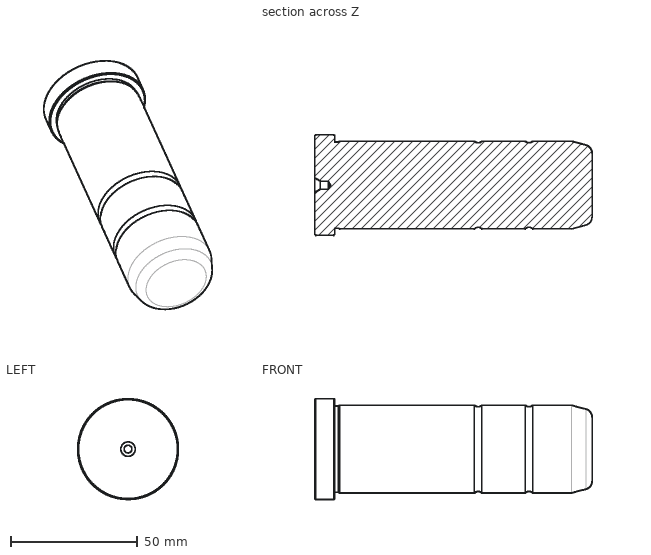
import cadquery as cq
import math

length = 110.0
body_radius = 17.5

head_radius = 20.0
head_length = 8.0
head_chamfer = 0.4

relief_depth = 0.3
relief_end = 9.4
relief_taper_end = 10.0

groove_centers = (64.8, 84.9)
groove_width = 3.0
groove_depth = 0.7

nose_start = 101.8
taper_end = 107.4
taper_angle = math.radians(15)

countersink_radius = 2.9
pilot_radius = 1.5
countersink_half_angle = math.radians(30)
pilot_end = 5.3
drill_half_angle = math.radians(59)


def make_pin():
    taper_end_radius = body_radius - (taper_end - nose_start) * math.tan(taper_angle)
    edge_radius = (length - taper_end) / (1 - math.sin(taper_angle))
    arc_center_x = length - edge_radius
    end_face_radius = taper_end_radius - edge_radius * math.cos(taper_angle)
    mid_angle = (math.pi / 2 - taper_angle) / 2
    arc_middle = (
        arc_center_x + edge_radius * math.cos(mid_angle),
        end_face_radius + edge_radius * math.sin(mid_angle),
    )
    relief_radius = body_radius - relief_depth
    return (
        cq.Workplane("XY")
        .moveTo(0, 0)
        .lineTo(0, head_radius - head_chamfer)
        .lineTo(head_chamfer, head_radius)
        .lineTo(head_length - head_chamfer, head_radius)
        .lineTo(head_length, head_radius - head_chamfer)
        .lineTo(head_length, relief_radius)
        .lineTo(relief_end, relief_radius)
        .lineTo(relief_taper_end, body_radius)
        .lineTo(nose_start, body_radius)
        .lineTo(taper_end, taper_end_radius)
        .threePointArc(arc_middle, (length, end_face_radius))
        .lineTo(length, 0)
        .close()
        .revolve(360, (0, 0, 0), (1, 0, 0))
    )


def make_groove(center_x):
    half_width = groove_width / 2
    return (
        cq.Workplane("XY")
        .moveTo(center_x - half_width, body_radius)
        .threePointArc(
            (center_x, body_radius - groove_depth),
            (center_x + half_width, body_radius),
        )
        .close()
        .revolve(360, (0, 0, 0), (1, 0, 0))
    )


def make_center_hole():
    countersink_depth = (countersink_radius - pilot_radius) / math.tan(countersink_half_angle)
    point_length = pilot_radius / math.tan(drill_half_angle)
    return (
        cq.Workplane("XY")
        .moveTo(0, 0)
        .lineTo(0, countersink_radius)
        .lineTo(countersink_depth, pilot_radius)
        .lineTo(pilot_end, pilot_radius)
        .lineTo(pilot_end + point_length, 0)
        .close()
        .revolve(360, (0, 0, 0), (1, 0, 0))
    )


result = make_pin().cut(make_center_hole())
for groove_center in groove_centers:
    result = result.cut(make_groove(groove_center))